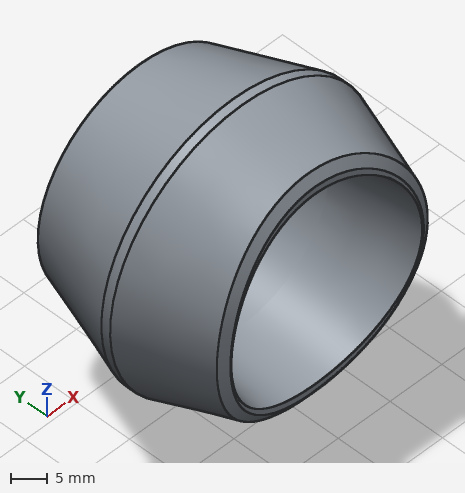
import cadquery as cq

outer_radius = 25.4
back_radius = 19.6
back_y = 17.85
band_back_y = 0.0
band_width = 1.7
band_front_y = band_back_y - band_width
front_taper = 0.33

bore_radius = 16.65
bore_mouth_radius = 18.4
bore_mouth_y = -17.9

saddle_radius = 75.95
saddle_crest_y = -15.6
rim_chamfer = 1.3

blank_front_y = -22.85
cutter_height = 2.4 * outer_radius


def revolve_about_y(profile):
    """Revolve (y, radius) points about the Y axis."""
    return cq.Workplane("YZ").polyline(profile).close().revolve(360, (0, 0), (1, 0))


def make_body():
    blank_front_radius = outer_radius - front_taper * (band_front_y - blank_front_y)
    profile = [
        (back_y, 0),
        (back_y, back_radius),
        (band_back_y, outer_radius),
        (band_front_y, outer_radius),
        (blank_front_y, blank_front_radius),
        (blank_front_y, 0),
    ]
    return revolve_about_y(profile)


def make_saddle():
    return (
        cq.Workplane("XY")
        .center(0, saddle_crest_y - saddle_radius)
        .circle(saddle_radius)
        .extrude(cutter_height / 2, both=True)
    )


def make_bore():
    mouth_slope = (bore_mouth_radius - bore_radius) / (band_front_y - bore_mouth_y)
    cutter_front_radius = bore_radius + mouth_slope * (band_front_y - blank_front_y)
    profile = [
        (back_y, 0),
        (back_y, bore_radius),
        (band_front_y, bore_radius),
        (blank_front_y, cutter_front_radius),
        (blank_front_y, 0),
    ]
    return revolve_about_y(profile)


body = make_body().cut(make_saddle())
body = body.faces("<Y").edges().chamfer(rim_chamfer)
result = body.cut(make_bore())